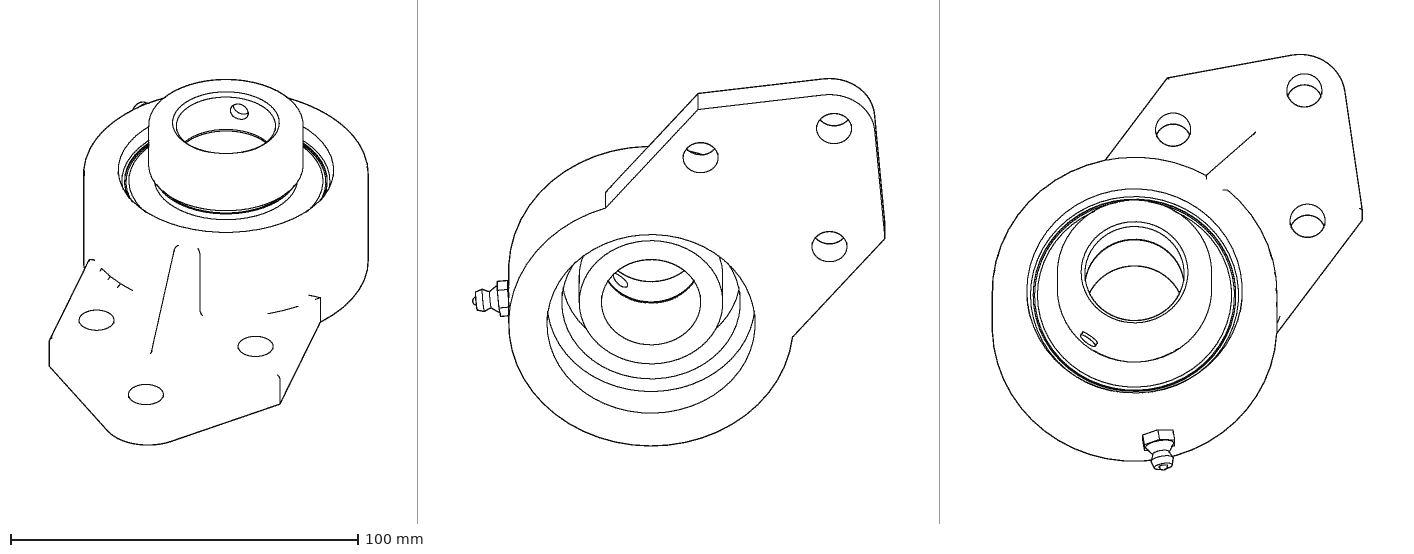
import cadquery as cq
import math

body_diameter = 82.0
body_height = 32.0
edge_round = 1.4

flange_thickness = 10.0
flange_half_width = 34.5
flange_corner_y = -64.5
flange_length = 136 - body_diameter / 2
flange_tip_radius = 13.0
flange_tip_y = flange_tip_radius - flange_length

bolt_hole_diameter = 10.0
bolt_hole_places = [(-23.8, -52.4), (23.8, -52.4), (0, -84.0)]

rib_width = 7.6
rib_round = 1.1
rib_inner_y = -35.4
rib_top_y = -41.2
rib_foot_y = -68.0

ring_width = 16.0
ring_center_z = 20.1
ring_bottom_z = ring_center_z - ring_width / 2
ring_top_z = ring_center_z + ring_width / 2
ring_diameter = 62.0
ring_face_diameter = math.sqrt(ring_diameter**2 - ring_width**2)
outer_ring_bore = 51.4

mouth_round = 1.0

shaft_diameter = 28.5
shoulder_diameter = 41.3
shoulder_top_z = 31.1
spigot_diameter = 37.7
spigot_top_z = 36.2
spigot_chamfer = 0.5

seal_diameter = 57.5
seal_rim_diameter = 55.9
seal_thickness = 1.4
seal_rise = 1.0
seal_groove = 0.4

collar_diameter = 44.5
collar_bottom_z = 32.9
collar_top_z = 48.7
collar_round = 1.0
collar_lip_diameter = 40.4
collar_bore_chamfer = 1.1

screw_diameter = 5.3
screw_z = 42.8
screw_inner_y = 17.0
screw_outer_y = 23.1

nipple_angle = 135
nipple_z = 21.9
stub_diameter = 6.0
stub_start = 36.0
hex_start = 41.0
hex_end = 44.0
hex_across_flats = 8.8
cone_base_diameter = 8.2
cone_top_diameter = 6.0
cone_top = 45.7
neck_diameter = 4.8
neck = 46.5
head_end_diameter = 5.3
head_base = 47.3
head_diameter = 6.5
head_middle = 48.5
head_face = 50.6
ball_diameter = 2.5
ball_center = 50.5

pick = 0.1


def cylinder(diameter, bottom_z, top_z):
    return cq.Workplane("XY", origin=(0, 0, bottom_z)).circle(diameter / 2).extrude(top_z - bottom_z)


def revolve_about_z(profile):
    """Turn a closed outline in radius and height about the Z axis."""
    return profile.close().revolve(360, (0, 0, 0), (0, 1, 0))


def inside_box(low, high):
    """Pick the edges that lie wholly inside a box."""
    return cq.selectors.BoxSelector(low, high, boundingbox=True)


def make_flange():
    corner_rise = flange_corner_y - flange_tip_y
    corner_distance = math.hypot(flange_half_width, corner_rise)
    corner_angle = math.atan2(corner_rise, flange_half_width)
    tangent_angle = corner_angle - math.acos(flange_tip_radius / corner_distance)
    tangent_x = flange_tip_radius * math.cos(tangent_angle)
    tangent_y = flange_tip_y + flange_tip_radius * math.sin(tangent_angle)
    return (
        cq.Workplane("XY")
        .moveTo(-flange_half_width, 0)
        .lineTo(-flange_half_width, flange_corner_y)
        .lineTo(-tangent_x, tangent_y)
        .threePointArc((0, -flange_length), (tangent_x, tangent_y))
        .lineTo(flange_half_width, flange_corner_y)
        .lineTo(flange_half_width, 0)
        .close()
        .extrude(flange_thickness)
    )


def make_rib():
    """A sloping rib whose foot flares into the flange top on three sides, with mitred corners."""
    half_width = rib_width / 2
    shelf_half_width = half_width + 2 * edge_round
    shelf_end_y = rib_foot_y - 2 * edge_round
    foot_bottom = flange_thickness - pick
    foot_top = flange_thickness + pick

    slope_outline = [
        (rib_inner_y, 0),
        (rib_inner_y, body_height),
        (rib_top_y, body_height),
        (rib_foot_y, flange_thickness),
        (shelf_end_y, flange_thickness),
        (shelf_end_y, 0),
    ]
    slope = cq.Workplane("YZ").polyline(slope_outline).close().extrude(shelf_half_width, both=True)
    slope_foot = inside_box(
        (-body_diameter, rib_foot_y - pick, foot_bottom),
        (body_diameter, rib_foot_y + pick, foot_top),
    )
    slope = slope.edges(slope_foot).fillet(edge_round)

    wall_outline = [
        (-shelf_half_width, 0),
        (-shelf_half_width, flange_thickness),
        (-half_width, flange_thickness),
        (-half_width, body_height),
        (half_width, body_height),
        (half_width, flange_thickness),
        (shelf_half_width, flange_thickness),
        (shelf_half_width, 0),
    ]
    wall = cq.Workplane("XZ").polyline(wall_outline).close().extrude(flange_length)
    wall_foot = inside_box(
        (-half_width - pick, -flange_length - pick, foot_bottom),
        (half_width + pick, pick, foot_top),
    )
    wall = wall.edges(wall_foot).fillet(edge_round)

    above_foot = inside_box(
        (-half_width - pick, rib_foot_y, flange_thickness + edge_round / 2),
        (half_width + pick, rib_inner_y + pick, body_height + pick),
    )
    rib = wall.intersect(slope)
    return rib.edges(above_foot).edges("not (<Z or >Y)").fillet(rib_round)


def make_ring_belt():
    """The solid belt of a sphere that fills the seat of the outer ring."""
    face_radius = ring_face_diameter / 2
    profile = (
        cq.Workplane("XZ")
        .moveTo(0, ring_bottom_z)
        .lineTo(face_radius, ring_bottom_z)
        .threePointArc((ring_diameter / 2, ring_center_z), (face_radius, ring_top_z))
        .lineTo(0, ring_top_z)
    )
    return revolve_about_z(profile)


def on_nipple_axis(shape):
    """Turn a shape built along +Z so that it points outward along the nipple axis."""
    laid_down = shape.rotate((0, 0, 0), (0, 1, 0), 90)
    return laid_down.rotate((0, 0, 0), (0, 0, 1), nipple_angle).translate((0, 0, nipple_z))


def make_nipple_stub():
    """The plain end of the nipple inside the housing wall."""
    return on_nipple_axis(cylinder(stub_diameter, stub_start, hex_start))


def make_housing():
    body = cylinder(body_diameter, 0, body_height).faces(">Z").edges().fillet(edge_round)
    housing = body.union(make_flange())

    flange_top = inside_box(
        (-body_diameter, -flange_length - pick, flange_thickness - pick),
        (body_diameter, body_diameter, flange_thickness + pick),
    )
    housing = housing.edges(flange_top).fillet(edge_round)
    housing = housing.union(make_rib())

    bore = cylinder(ring_face_diameter, 0, body_height)
    mouth = cylinder(ring_diameter, ring_top_z, body_height).faces("<Z").edges().fillet(mouth_round)
    housing = housing.cut(bore).cut(make_ring_belt()).cut(mouth)

    bolt_holes = cq.Workplane("XY").pushPoints(bolt_hole_places).circle(bolt_hole_diameter / 2)
    return housing.cut(bolt_holes.extrude(flange_thickness)).cut(make_nipple_stub())


def make_outer_ring():
    bore = cylinder(outer_ring_bore, ring_bottom_z, ring_top_z)
    seal_seat = cylinder(seal_diameter, ring_top_z - seal_thickness, ring_top_z)
    groove = cylinder(seal_diameter + 2 * seal_groove, ring_top_z - seal_groove, ring_top_z)
    return make_ring_belt().cut(bore).cut(seal_seat).cut(groove)


def make_seal():
    """A thin ring with a bevelled rim and a top that rises towards the inner ring."""
    inner_radius = shoulder_diameter / 2
    outer_radius = seal_diameter / 2
    bottom_z = ring_top_z - seal_thickness
    outline = [
        (inner_radius, bottom_z),
        (outer_radius, bottom_z),
        (outer_radius, ring_top_z - seal_groove),
        (seal_rim_diameter / 2, ring_top_z),
        (inner_radius, ring_top_z + seal_rise),
    ]
    return revolve_about_z(cq.Workplane("XZ").polyline(outline))


def make_inner_ring():
    """A sleeve with a shoulder below and a thinner spigot that enters the collar."""
    shoulder = cylinder(shoulder_diameter, ring_bottom_z, shoulder_top_z)
    spigot = cylinder(spigot_diameter, shoulder_top_z, spigot_top_z)
    bore = cylinder(shaft_diameter, ring_bottom_z, spigot_top_z)
    bore_rim = cq.selectors.RadiusNthSelector(0)
    return shoulder.union(spigot).cut(bore).faces(">Z").edges(bore_rim).chamfer(spigot_chamfer)


def make_screw_rod(start_y, end_y):
    """A round rod along +Y on the set screw axis."""
    section = cq.Workplane("XZ", origin=(0, start_y, screw_z)).circle(screw_diameter / 2)
    return section.extrude(start_y - end_y)


def make_collar():
    """A rounded collar whose lip reaches down over the spigot to the shoulder."""
    body = cylinder(collar_diameter, collar_bottom_z, collar_top_z).edges().fillet(collar_round)
    lip = cylinder(collar_lip_diameter, shoulder_top_z, collar_bottom_z)
    bore = cylinder(shaft_diameter, shoulder_top_z, collar_top_z)
    bore_rim = cq.selectors.RadiusNthSelector(0)
    collar = body.union(lip).cut(bore).faces(">Z").edges(bore_rim).chamfer(collar_bore_chamfer)
    collar = collar.cut(cylinder(spigot_diameter, shoulder_top_z, spigot_top_z))
    return collar.cut(make_screw_rod(0, collar_diameter))


def make_set_screw():
    return make_screw_rod(screw_inner_y, screw_outer_y)


def make_nipple_ball():
    ball = cq.Workplane("XY").sphere(ball_diameter / 2).translate((0, 0, ball_center))
    return on_nipple_axis(ball)


def make_nipple():
    hexagon = (
        cq.Workplane("XY", origin=(0, 0, hex_start))
        .transformed(rotate=(0, 0, 30))
        .polygon(6, hex_across_flats, circumscribed=True)
        .extrude(hex_end - hex_start)
    )
    outline = [
        (0, hex_end),
        (cone_base_diameter / 2, hex_end),
        (cone_top_diameter / 2, cone_top),
        (neck_diameter / 2, neck),
        (head_end_diameter / 2, head_base),
        (head_diameter / 2, head_middle),
        (head_end_diameter / 2, head_face),
        (0, head_face),
    ]
    head = revolve_about_z(cq.Workplane("XZ").polyline(outline))
    ball_hole = cylinder(ball_diameter, ball_center, head_face)
    nipple = on_nipple_axis(hexagon.union(head).cut(ball_hole))
    return nipple.union(make_nipple_stub()).cut(make_nipple_ball())


housing = make_housing()
outer_ring = make_outer_ring()
inner_ring = make_inner_ring()
seal = make_seal()
collar = make_collar()
set_screw = make_set_screw()
nipple = make_nipple()
nipple_ball = make_nipple_ball()

result = cq.Compound.makeCompound(
    [
        housing.val(),
        outer_ring.val(),
        inner_ring.val(),
        seal.val(),
        collar.val(),
        set_screw.val(),
        nipple.val(),
        nipple_ball.val(),
    ]
)